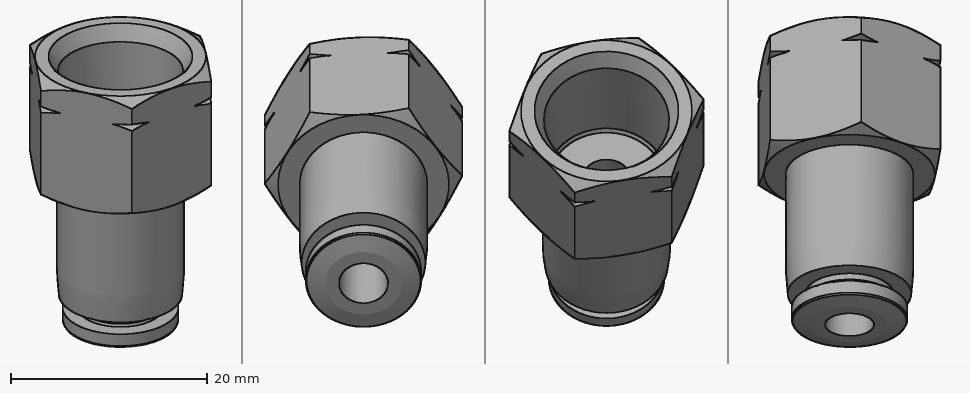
import cadquery as cq
import math

total_height = 30.8
across_flats = 17.45
across_corners = across_flats / math.cos(math.radians(30))
hex_bottom = 17.28
hex_chamfer_angle = 30.0
hex_face_diameter = 17.4
corner_clearance = 0.3

groove_z = 27.85
groove_bottom_radius = 9.2
groove_half_height = 0.37

body_diameter = 13.0
body_tip_diameter = 12.6
body_taper_top = 6.55
body_bottom = 3.55
upper_neck_diameter = 9.0
upper_neck_bottom = 2.85
lower_neck_diameter = 8.35
lower_neck_bottom = 2.25
neck_foot_diameter = 8.62
flange_diameter = 11.8
flange_top = 1.97
flange_side_bottom = 0.62
flange_edge_height = 0.43
flange_edge_diameter = 11.58
flange_face_diameter = 7.82

mouth_diameter = 14.65
mouth_angle = 30.0
bore_diameter = 12.75
bore_end_diameter = 12.1
bore_length = 10.35
socket_floor_diameter = 11.6
through_diameter = 5.0


def make_hexagon():
    """Hexagon with corners on Y, conically chamfered at both ends."""
    hexagon = (
        cq.Workplane("XY", origin=(0, 0, hex_bottom))
        .polygon(6, across_corners)
        .extrude(total_height - hex_bottom)
        .rotate((0, 0, 0), (0, 0, 1), 30)
    )
    face_radius = hex_face_diameter / 2
    outer_radius = across_corners / 2 + corner_clearance
    drop = (outer_radius - face_radius) * math.tan(math.radians(hex_chamfer_angle))
    envelope = (
        cq.Workplane("XZ")
        .moveTo(0, hex_bottom)
        .lineTo(face_radius, hex_bottom)
        .lineTo(outer_radius, hex_bottom + drop)
        .lineTo(outer_radius, total_height - drop)
        .lineTo(face_radius, total_height)
        .lineTo(0, total_height)
        .close()
        .revolve(360, (0, 0), (0, 1))
    )
    return hexagon.intersect(envelope)


def make_groove():
    """Ring with a V section, pointing inwards."""
    corner_depth = across_corners / 2 - groove_bottom_radius
    half_height = 2 * groove_half_height
    outer_radius = groove_bottom_radius + 2 * corner_depth
    return (
        cq.Workplane("XZ")
        .moveTo(groove_bottom_radius, groove_z)
        .lineTo(outer_radius, groove_z - half_height)
        .lineTo(outer_radius, groove_z + half_height)
        .close()
        .revolve(360, (0, 0), (0, 1))
    )


def make_body():
    """Round body with a gently curved lower end, stepped neck and collet flange."""
    body_radius = body_diameter / 2
    tip_radius = body_tip_diameter / 2
    middle_radius = body_radius - (body_radius - tip_radius) / 4
    middle_z = (body_taper_top + body_bottom) / 2
    return (
        cq.Workplane("XZ")
        .moveTo(0, 0)
        .lineTo(flange_face_diameter / 2, 0)
        .lineTo(flange_edge_diameter / 2, flange_edge_height)
        .lineTo(flange_diameter / 2, flange_side_bottom)
        .lineTo(flange_diameter / 2, flange_top)
        .lineTo(neck_foot_diameter / 2, flange_top)
        .lineTo(lower_neck_diameter / 2, lower_neck_bottom)
        .lineTo(lower_neck_diameter / 2, upper_neck_bottom)
        .lineTo(upper_neck_diameter / 2, upper_neck_bottom)
        .lineTo(upper_neck_diameter / 2, body_bottom)
        .lineTo(tip_radius, body_bottom)
        .threePointArc((middle_radius, middle_z), (body_radius, body_taper_top))
        .lineTo(body_radius, hex_bottom)
        .lineTo(0, hex_bottom)
        .close()
        .revolve(360, (0, 0), (0, 1))
    )


def make_socket():
    """Wide conical mouth, tapered bore and a conical step down to a flat floor."""
    slope = math.tan(math.radians(mouth_angle))
    bore_top = total_height - (mouth_diameter - bore_diameter) / 2 / slope
    bore_bottom = bore_top - bore_length
    floor_z = bore_bottom - (bore_end_diameter - socket_floor_diameter) / 2 / slope
    return (
        cq.Workplane("XZ")
        .moveTo(0, floor_z)
        .lineTo(socket_floor_diameter / 2, floor_z)
        .lineTo(bore_end_diameter / 2, bore_bottom)
        .lineTo(bore_diameter / 2, bore_top)
        .lineTo(mouth_diameter / 2, total_height)
        .lineTo(0, total_height)
        .close()
        .revolve(360, (0, 0), (0, 1))
    )


through_hole = cq.Workplane("XY").circle(through_diameter / 2).extrude(total_height)

result = (
    make_hexagon()
    .cut(make_groove())
    .union(make_body())
    .cut(make_socket())
    .cut(through_hole)
)